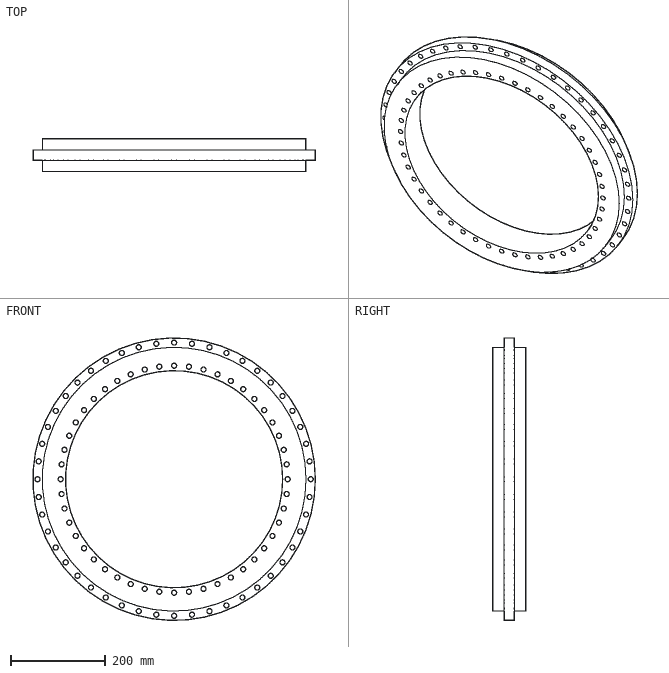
import cadquery as cq

ring_width = 70.0
flange_width = 22.0
flange_diameter = 600.0
body_diameter = 560.0
bore_diameter = 460.0

holes_per_circle = 48
hole_diameter = 10.0
flange_hole_circle = (flange_diameter + body_diameter) / 2
body_hole_circle = 482.0


def disc(diameter, width):
    """Solid disc about the Y axis, centred on the origin."""
    return cq.Workplane("XZ", origin=(0, width / 2, 0)).circle(diameter / 2).extrude(width)


def hole_pins(circle_diameter):
    """Pins that cut one circle of evenly spaced holes through the whole ring."""
    return (
        cq.Workplane("XZ", origin=(0, ring_width / 2, 0))
        .polarArray(circle_diameter / 2, 0, 360, holes_per_circle)
        .circle(hole_diameter / 2)
        .extrude(ring_width)
    )


ring = disc(body_diameter, ring_width).union(disc(flange_diameter, flange_width))

ring = ring.cut(disc(bore_diameter, ring_width))

for circle_diameter in (flange_hole_circle, body_hole_circle):
    ring = ring.cut(hole_pins(circle_diameter))

result = ring